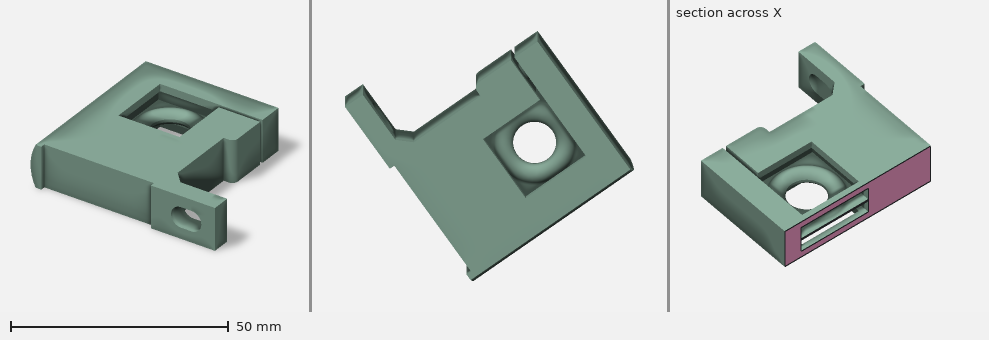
import cadquery as cq
import math

height = 11.5
depth = 45.0
length = 51.3
mid_height = height / 2

curve_rise = 1.4

recess_start = 3.0
recess_end = 33.5
recess_depth = 1.25

tab_thickness = 5.0
waist_x = 35.4
head_x = 38.3
head_bottom_y = 26.9
head_corner_radius = 1.5
tab_chamfer_height = 3.1

slot_x = 43.3
slot_length = 8.4
slot_width = 5.5

window_size = 17.0
window_x = 18.3
window_y = 30.0
cavity_size = 20.0
rim_thickness = 2.0

gap_width = 1.0
gap_back_y = window_y + window_size / 2
gap_front_y = gap_back_y - gap_width

pin_x = 33.3
pin_diameter = 4.2
pin_engagement = 4.0

plate_thickness = 0.55
ring_bore_radius = 4.95
ring_mid_radius = 7.2
ring_section_radius = 2.5
bore_lip_height = 0.75
ring_fillet_edge_radius = cavity_size / 2


def box_at_window(size, bottom, top):
    """Square block centred on the window, from one height to another."""
    return (
        cq.Workplane("XY", origin=(window_x, window_y, bottom))
        .rect(size, size)
        .extrude(top - bottom)
    )


def make_pin():
    """Round pin spanning the gap and entering both sides of it."""
    pin_length = gap_width + 2 * pin_engagement
    return (
        cq.Workplane("XZ", origin=(pin_x, gap_back_y + pin_engagement, mid_height))
        .circle(pin_diameter / 2)
        .extrude(pin_length)
    )


def make_housing_block():
    """Extruded outline with a curved left face and a rounded head corner."""
    block = (
        cq.Workplane("XY")
        .moveTo(0, 0)
        .lineTo(recess_start, 0)
        .lineTo(recess_start, recess_depth)
        .lineTo(recess_end, recess_depth)
        .lineTo(recess_end, 0)
        .lineTo(length, 0)
        .lineTo(length, tab_thickness)
        .lineTo(head_x, tab_thickness)
        .lineTo(waist_x, tab_thickness + tab_chamfer_height)
        .lineTo(waist_x, head_bottom_y)
        .lineTo(head_x - head_corner_radius, head_bottom_y)
        .radiusArc((head_x, head_bottom_y + head_corner_radius), -head_corner_radius)
        .lineTo(head_x, depth)
        .lineTo(0, depth)
        .close()
        .extrude(height)
    )
    side_profile = (
        cq.Workplane("XZ")
        .moveTo(curve_rise, 0)
        .threePointArc((0, mid_height), (curve_rise, height))
        .lineTo(length, height)
        .lineTo(length, 0)
        .close()
        .extrude(-depth)
    )
    return block.intersect(side_profile)


def make_housing():
    """Housing with its window, cavity, clamping gap, tab slot and pin hole."""
    window = box_at_window(window_size, 0, height)
    cavity = box_at_window(cavity_size, rim_thickness, height - rim_thickness)
    gap = (
        cq.Workplane("XY", origin=(window_x, gap_front_y, 0))
        .rect(head_x - window_x, gap_width, centered=False)
        .extrude(height)
    )
    tab_slot = (
        cq.Workplane("XZ", origin=(slot_x, 0, mid_height))
        .slot2D(slot_length, slot_width)
        .extrude(-tab_thickness)
    )
    return make_housing_block().cut(window).cut(cavity).cut(gap).cut(tab_slot).cut(make_pin())


def make_ring():
    """Solid of revolution: a rounded crest on each face, filleted into the plate."""
    half_plate = plate_thickness / 2
    half_lip = bore_lip_height / 2
    run = ring_fillet_edge_radius - ring_mid_radius
    crest_z = half_lip + ring_section_radius - math.sqrt(
        ring_section_radius**2 - (ring_mid_radius - ring_bore_radius) ** 2
    )
    section_center_z = crest_z - ring_section_radius
    rise = half_plate - section_center_z
    fillet_radius = (run**2 + rise**2 - ring_section_radius**2) / (2 * (ring_section_radius - rise))
    tangent_angle = math.atan2(rise + fillet_radius, run)
    tangent_x = ring_mid_radius + ring_section_radius * math.cos(tangent_angle)
    tangent_z = section_center_z + ring_section_radius * math.sin(tangent_angle)
    half_sweep = (math.pi / 2 - tangent_angle) / 2
    fillet_mid_x = ring_fillet_edge_radius - fillet_radius * math.sin(half_sweep)
    fillet_mid_z = half_plate + fillet_radius * (1 - math.cos(half_sweep))
    profile = (
        cq.Workplane("XZ")
        .moveTo(ring_bore_radius, -half_lip)
        .lineTo(ring_bore_radius, half_lip)
        .threePointArc((ring_mid_radius, crest_z), (tangent_x, tangent_z))
        .threePointArc((fillet_mid_x, fillet_mid_z), (ring_fillet_edge_radius, half_plate))
        .lineTo(ring_fillet_edge_radius, -half_plate)
        .threePointArc((fillet_mid_x, -fillet_mid_z), (tangent_x, -tangent_z))
        .threePointArc((ring_mid_radius, -crest_z), (ring_bore_radius, -half_lip))
        .close()
    )
    return profile.revolve(360, (0, 0, 0), (0, 1, 0)).translate((window_x, window_y, mid_height))


def make_ring_plate():
    """Square plate filling the cavity, carrying the ring around its bore."""
    half_plate = plate_thickness / 2
    plate = box_at_window(cavity_size, mid_height - half_plate, mid_height + half_plate)
    bore = (
        cq.Workplane("XY", origin=(window_x, window_y, 0))
        .circle(ring_mid_radius)
        .extrude(height)
    )
    return plate.cut(bore).union(make_ring())


housing = make_housing()
pin = make_pin()
ring_plate = make_ring_plate()

result = cq.Compound.makeCompound([housing.val(), pin.val(), ring_plate.val()])